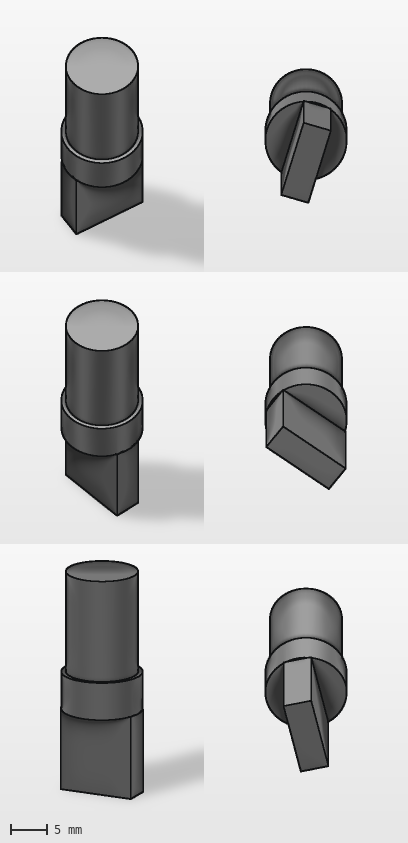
import cadquery as cq

total_height = 31.7
shank_diameter = 10.0
shank_length = 14.48
collar_diameter = 11.28
collar_height = 5.35
tang_thickness = 3.93
tang_width = 10.8

tang_length = total_height - shank_length - collar_height

tang = cq.Workplane("XY").rect(tang_thickness, tang_width).extrude(tang_length)

collar = (
    cq.Workplane("XY")
    .workplane(offset=tang_length)
    .circle(collar_diameter / 2)
    .extrude(collar_height)
)

shank = (
    cq.Workplane("XY")
    .workplane(offset=tang_length + collar_height)
    .circle(shank_diameter / 2)
    .extrude(shank_length)
)

result = tang.union(collar).union(shank)